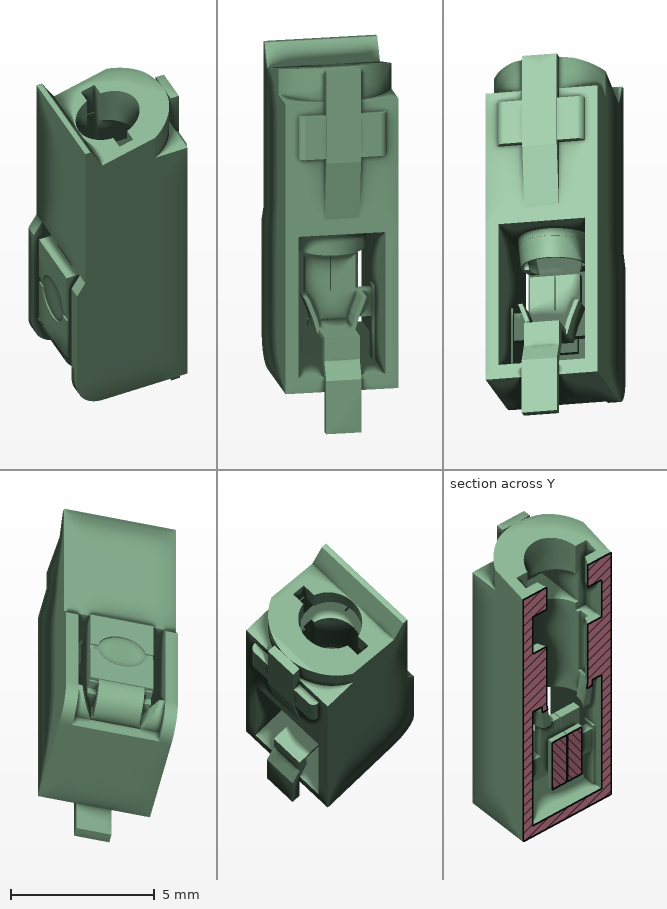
import cadquery as cq
import math


HEIGHT = 13.1
WIDTH = 4.0
HALF_WIDTH = WIDTH / 2
FRONT_Y = -4.25
UPPER_FRONT_Y = -3.93
HOUSING_BOTTOM_Z = 1.43
CHEEK_RADIUS = 0.98
CHEEK_TOP_Z = 7.1
CHEEK_SHOULDER_Z = 6.6
TOP_FLAT_Y = -0.26
TOP_VALLEY_Y = -3.26
TOP_VALLEY_Z = 12.33
LIP_BACK_Y = -3.73

CROWN_RADIUS = 2.23
CROWN_BOTTOM_Z = 11.92

BORE_Y = -2.14
BORE_RADIUS = 1.11
NECK_RADIUS = 0.94
KEYWAY_HALF_WIDTH = 1.59
KEYWAY_BACK_Y = -1.9
KEYWAY_FRONT_Y = -2.42
PLATE_SLOT_HALF_WIDTH = 1.22
PLATE_SLOT_BACK_Y = -2.03
COLLAR_RADIUS = 1.31
COLLAR_BOTTOM_Z = 6.84
SPOUT_BOTTOM_Z = 6.08
SPOUT_TOP_RADIUS = 1.3
SPOUT_BOTTOM_RADIUS = 1.2
SPOUT_FRONT_Y = -2.75

CHAMBER_HALF_WIDTH = 1.55
FLOOR_TOP_Z = 1.94
FLOOR_FRONT_Y = FRONT_Y + CHEEK_RADIUS
GUSSET_TOP_Z = 2.7
GUSSET_INNER_X = 0.89
GUSSET_TIP_X = 1.38
GUSSET_RADIUS = 0.85
RIB_INNER_X = 1.47
RIB_TOP_Z = 4.62

RAIL_HALF_WIDTH = 0.62
RAIL_DEPTH = 0.31
RAIL_TAPER_TOP_Z = 9.79
RAIL_TAPER_BOTTOM_Z = 7.68
PAD_HALF_WIDTH = 1.56
PAD_DEPTH = 0.28
PAD_RADIUS = 0.24
PAD_BOTTOM_Z = 9.94
PAD_TOP_Z = 11.49
SLOT_HALF_WIDTH = 0.64
SLOT_FRONT_Y = -3.89
SLOT_BACK_Y = -3.47
POCKET_HALF_WIDTH = 1.55
POCKET_BOTTOM_Z = 9.76
POCKET_TOP_Z = 11.42
BAY_HALF_WIDTH = 1.22
BAY_BACK_Y = 0.09
BAY_BOTTOM_Z = 10.09

CLAMP_HALF_WIDTH = 1.13
CLAMP_TOP_Z = 6.75
CLAMP_BOTTOM_Z = 3.08
CLAMP_BACK_Y = -2.78
TAB_HALF_WIDTH = 0.58
TAB_FRONT_Y = -3.8
MARK_RADIUS = 0.85
MARK_Z = 4.91
MARK_SLOT_HEIGHT = 0.28
MARK_DEPTH = 0.05
FOOT_FRONT_Y = -3.83
FOOT_LIP_Y = -4.13
FOOT_SHOULDER_Z = 3.0
FOOT_HALF_WIDTH = 0.88
FOOT_BOTTOM_Z = 2.05
ROLL_HALF_WIDTH = 0.81
CLAMP_LEAF_HALF_WIDTH = 0.68
CLAMP_LEAF_BACK_Y = -2.54
CLAMP_LEAF_TOP_Z = 5.24

PIN_HALF_WIDTH = 0.63
PIN_BACK_Y = 0.35
PIN_FRONT_Y = 0.01
PIN_JOG_BOTTOM_Z = 1.93
PIN_JOG_TOP_Z = 2.55
PLATE_HALF_WIDTH = 0.89
PLATE_FRONT_Y = -2.37
PLATE_BACK_Y = -2.05
PLATE_TOP_Z = 5.76
LUG_BOTTOM_Z = 3.48
LUG_TOP_Z = 4.48
LEAF_GAP = 0.04
TROUGH_BACK_Y = -1.05
TROUGH_FLOOR_HALF_WIDTH = 0.56
TROUGH_STEP_HALF_WIDTH = 0.67
TROUGH_MOUTH_HALF_WIDTH = 0.93
TROUGH_WALL = 0.16
TROUGH_FLOOR_Z = 3.4
TROUGH_STEP_Z = 3.8
TROUGH_MOUTH_Z = 4.48


def box(x0, x1, y0, y1, z0, z1):
    """Axis-aligned block between two corners."""
    return cq.Workplane("XY").box(x1 - x0, y1 - y0, z1 - z0, centered=False).translate((x0, y0, z0))


def wide_box(half_width, y0, y1, z0, z1):
    """Block centred on X = 0."""
    return box(-half_width, half_width, y0, y1, z0, z1)


def side_extrude(points, half_width):
    """Closed (Y, Z) outline extruded symmetrically about X = 0."""
    return cq.Workplane("YZ").polyline(points).close().extrude(half_width, both=True)


def rod(radius, y, z0, z1):
    """Vertical cylinder on the centre plane."""
    return cq.Workplane("XY", origin=(0, y, z0)).circle(radius).extrude(z1 - z0)


def cone(bottom_radius, top_radius, z0, z1):
    """Vertical cone frustum on the bore axis."""
    solid = cq.Solid.makeCone(bottom_radius, top_radius, z1 - z0, pnt=cq.Vector(0, BORE_Y, z0))
    return cq.Workplane(solid)


def mirrored(body):
    """The body together with its mirror image in the plane X = 0."""
    return body.union(body.mirror("YZ"))


def side_profile_body():
    arc_offset = CHEEK_RADIUS * (1 - math.sqrt(0.5))
    return (
        cq.Workplane("YZ")
        .moveTo(0, HOUSING_BOTTOM_Z)
        .lineTo(FLOOR_FRONT_Y, HOUSING_BOTTOM_Z)
        .threePointArc(
            (FRONT_Y + arc_offset, HOUSING_BOTTOM_Z + arc_offset),
            (FRONT_Y, HOUSING_BOTTOM_Z + CHEEK_RADIUS),
        )
        .lineTo(FRONT_Y, CHEEK_SHOULDER_Z)
        .lineTo(UPPER_FRONT_Y, CHEEK_TOP_Z)
        .lineTo(UPPER_FRONT_Y, HEIGHT)
        .lineTo(LIP_BACK_Y, HEIGHT)
        .lineTo(TOP_VALLEY_Y, TOP_VALLEY_Z)
        .lineTo(TOP_FLAT_Y, HEIGHT)
        .lineTo(0, HEIGHT)
        .close()
        .extrude(HALF_WIDTH, both=True)
    )


def crown_waste():
    """Material outside the rounded crown at the two upper back corners."""
    corners = wide_box(HALF_WIDTH, -CROWN_RADIUS, 0, CROWN_BOTTOM_Z, HEIGHT)
    return corners.cut(rod(CROWN_RADIUS, -CROWN_RADIUS, CROWN_BOTTOM_Z, HEIGHT))


def chamber():
    """Opening from front to back, with the front of the floor set back between the cheeks."""
    room = wide_box(CHAMBER_HALF_WIDTH, FRONT_Y, 0, FLOOR_TOP_Z, CHEEK_TOP_Z)
    floor_setback = wide_box(CHAMBER_HALF_WIDTH, FRONT_Y, FLOOR_FRONT_Y, HOUSING_BOTTOM_Z, FLOOR_TOP_Z)
    return room.union(floor_setback)


def gussets():
    """Corner blocks with a slanted inner face and a rounded lower front edge."""
    front_y = FLOOR_FRONT_Y - GUSSET_RADIUS
    plan = (
        cq.Workplane("XY", origin=(0, 0, FLOOR_TOP_Z))
        .polyline([
            (CHAMBER_HALF_WIDTH, front_y),
            (GUSSET_TIP_X, front_y),
            (GUSSET_INNER_X, FLOOR_FRONT_Y),
            (GUSSET_INNER_X, CLAMP_BACK_Y),
            (CHAMBER_HALF_WIDTH, CLAMP_BACK_Y),
        ])
        .close()
        .extrude(GUSSET_TOP_Z - FLOOR_TOP_Z)
    )
    rounding = (
        cq.Workplane("YZ", origin=(0, FLOOR_FRONT_Y, FLOOR_TOP_Z + GUSSET_RADIUS))
        .circle(GUSSET_RADIUS)
        .extrude(CHAMBER_HALF_WIDTH)
    )
    behind = box(0, CHAMBER_HALF_WIDTH, FLOOR_FRONT_Y, 0, FLOOR_TOP_Z, GUSSET_TOP_Z)
    return mirrored(plan.intersect(rounding.union(behind)))


def guide_ribs():
    """Thin ribs on the chamber walls that hold the lugs of the contact."""
    return mirrored(
        box(RIB_INNER_X, CHAMBER_HALF_WIDTH, KEYWAY_FRONT_Y, KEYWAY_BACK_Y, FLOOR_TOP_Z, RIB_TOP_Z)
    )


def spout():
    """Collar and tapered spout that lead the wire down into the chamber."""
    collar = rod(COLLAR_RADIUS, BORE_Y, COLLAR_BOTTOM_Z, CHEEK_TOP_Z)
    taper = cone(SPOUT_BOTTOM_RADIUS, SPOUT_TOP_RADIUS, SPOUT_BOTTOM_Z, COLLAR_BOTTOM_Z)
    back_part = wide_box(COLLAR_RADIUS, SPOUT_FRONT_Y, 0, SPOUT_BOTTOM_Z, COLLAR_BOTTOM_Z)
    return collar.union(taper.intersect(back_part))


def wire_entry():
    """Round bore down to the spout, with keyways above the pocket and a slot below it.

    The front half of the bore narrows inside the spout; the back half stays straight.
    """
    bore = rod(BORE_RADIUS, BORE_Y, CHEEK_TOP_Z, HEIGHT)
    neck = cone(NECK_RADIUS, BORE_RADIUS, SPOUT_BOTTOM_Z, CHEEK_TOP_Z)
    back_half = wide_box(BORE_RADIUS, BORE_Y, BORE_Y + BORE_RADIUS, SPOUT_BOTTOM_Z, CHEEK_TOP_Z)
    straight_back = rod(BORE_RADIUS, BORE_Y, SPOUT_BOTTOM_Z, CHEEK_TOP_Z).intersect(back_half)
    keyway = wide_box(KEYWAY_HALF_WIDTH, KEYWAY_FRONT_Y, KEYWAY_BACK_Y, POCKET_TOP_Z, HEIGHT)
    plate_slot = wide_box(
        PLATE_SLOT_HALF_WIDTH, KEYWAY_FRONT_Y, PLATE_SLOT_BACK_Y, CHEEK_TOP_Z, POCKET_BOTTOM_Z
    )
    return bore.union(neck).union(straight_back).union(keyway).union(plate_slot)


def back_rail():
    rail = side_extrude(
        [(0, RAIL_TAPER_BOTTOM_Z), (RAIL_DEPTH, RAIL_TAPER_TOP_Z), (RAIL_DEPTH, HEIGHT), (0, HEIGHT)],
        RAIL_HALF_WIDTH,
    )
    pad = wide_box(PAD_HALF_WIDTH, 0, PAD_DEPTH, PAD_BOTTOM_Z, PAD_TOP_Z)
    pad = pad.edges("|Z and >Y").fillet(PAD_RADIUS)
    return rail.union(pad)


def bore_pocket():
    """Pocket across the bore, with a narrower bay reaching back into the pad."""
    pocket = wide_box(POCKET_HALF_WIDTH, SLOT_FRONT_Y, KEYWAY_BACK_Y, POCKET_BOTTOM_Z, POCKET_TOP_Z)
    bay = wide_box(BAY_HALF_WIDTH, KEYWAY_BACK_Y, BAY_BACK_Y, BAY_BOTTOM_Z, POCKET_TOP_Z)
    return pocket.union(bay)


def tab_slot():
    """Slot behind the front wall for the tab of the clamp."""
    return wide_box(SLOT_HALF_WIDTH, SLOT_FRONT_Y, SLOT_BACK_Y, CHEEK_TOP_Z, POCKET_BOTTOM_Z)


def make_housing():
    body = side_profile_body().cut(crown_waste()).cut(chamber())
    body = body.union(gussets()).union(guide_ribs()).union(spout()).union(back_rail())
    return body.cut(wire_entry()).cut(bore_pocket()).cut(tab_slot())


def leaf_pair(half_width, y0, y1, z0, z1):
    """Two upright leaves separated by a slit at X = 0."""
    return mirrored(box(LEAF_GAP / 2, half_width, y0, y1, z0, z1))


def clamp_mark():
    """Shallow round recess crossed by a horizontal slot."""
    disc = (
        cq.Workplane("XZ", origin=(0, FRONT_Y, MARK_Z))
        .circle(MARK_RADIUS)
        .extrude(-MARK_DEPTH)
    )
    slot = wide_box(
        CLAMP_HALF_WIDTH, FRONT_Y, FRONT_Y + MARK_DEPTH,
        MARK_Z - MARK_SLOT_HEIGHT / 2, MARK_Z + MARK_SLOT_HEIGHT / 2,
    )
    return disc.union(slot)


def clamp_foot():
    """Narrow foot below the block, with a rounded nose in front."""
    shoulder = wide_box(CLAMP_HALF_WIDTH, FOOT_FRONT_Y, CLAMP_BACK_Y, GUSSET_TOP_Z, CLAMP_BOTTOM_Z)
    lip = wide_box(CLAMP_HALF_WIDTH, FOOT_LIP_Y, CLAMP_BACK_Y, FOOT_SHOULDER_Z, CLAMP_BOTTOM_Z)
    foot = wide_box(FOOT_HALF_WIDTH, FLOOR_FRONT_Y, CLAMP_BACK_Y, FOOT_BOTTOM_Z, GUSSET_TOP_Z)
    roll_radius = FOOT_SHOULDER_Z - FOOT_BOTTOM_Z
    roll = (
        cq.Workplane("YZ", origin=(0, FLOOR_FRONT_Y, FOOT_SHOULDER_Z))
        .circle(roll_radius)
        .extrude(ROLL_HALF_WIDTH, both=True)
    )
    nose_limit = wide_box(
        ROLL_HALF_WIDTH, FLOOR_FRONT_Y - roll_radius, FLOOR_FRONT_Y, FOOT_BOTTOM_Z, CLAMP_BOTTOM_Z
    )
    return shoulder.union(lip).union(foot).union(roll.intersect(nose_limit))


def make_clamp():
    block = wide_box(CLAMP_HALF_WIDTH, FRONT_Y, CLAMP_BACK_Y, CLAMP_BOTTOM_Z, CLAMP_TOP_Z)
    tab = wide_box(TAB_HALF_WIDTH, TAB_FRONT_Y, SLOT_BACK_Y, CLAMP_TOP_Z, POCKET_BOTTOM_Z)
    leaves = leaf_pair(
        CLAMP_LEAF_HALF_WIDTH, CLAMP_BACK_Y, CLAMP_LEAF_BACK_Y, CLAMP_BOTTOM_Z, CLAMP_LEAF_TOP_Z
    )
    return block.cut(clamp_mark()).union(tab).union(clamp_foot()).union(leaves)


def contact_trough():
    """Trough with flared sides behind the contact plate."""
    inside = [
        (TROUGH_FLOOR_HALF_WIDTH, TROUGH_FLOOR_Z),
        (TROUGH_STEP_HALF_WIDTH, TROUGH_STEP_Z),
        (TROUGH_MOUTH_HALF_WIDTH, TROUGH_MOUTH_Z),
    ]
    outside = [
        (TROUGH_MOUTH_HALF_WIDTH + TROUGH_WALL, TROUGH_MOUTH_Z),
        (TROUGH_STEP_HALF_WIDTH + TROUGH_WALL, TROUGH_STEP_Z),
        (TROUGH_STEP_HALF_WIDTH, TROUGH_FLOOR_Z - TROUGH_WALL),
    ]
    right_side = inside + outside
    left_side = [(-x, z) for x, z in reversed(right_side)]
    return (
        cq.Workplane("XZ", origin=(0, TROUGH_BACK_Y, 0))
        .polyline(right_side + left_side)
        .close()
        .extrude(TROUGH_BACK_Y - PLATE_BACK_Y)
    )


def contact_pin():
    """Pin that jogs forward into the housing and runs level to the trough."""
    thickness = PIN_BACK_Y - PIN_FRONT_Y
    return side_extrude(
        [
            (PIN_BACK_Y, 0),
            (PIN_BACK_Y, PIN_JOG_BOTTOM_Z),
            (PIN_FRONT_Y, PIN_JOG_TOP_Z),
            (PIN_FRONT_Y, TROUGH_FLOOR_Z),
            (TROUGH_BACK_Y, TROUGH_FLOOR_Z),
            (TROUGH_BACK_Y, TROUGH_FLOOR_Z - TROUGH_WALL),
            (PIN_FRONT_Y - thickness, TROUGH_FLOOR_Z - TROUGH_WALL),
            (PIN_FRONT_Y - thickness, PIN_JOG_TOP_Z),
            (PIN_FRONT_Y, PIN_JOG_BOTTOM_Z),
            (PIN_FRONT_Y, 0),
        ],
        PIN_HALF_WIDTH,
    )


def make_contact():
    lugs = wide_box(RIB_INNER_X, PLATE_FRONT_Y, PLATE_BACK_Y, LUG_BOTTOM_Z, LUG_TOP_Z)
    leaves = leaf_pair(PLATE_HALF_WIDTH, PLATE_FRONT_Y, PLATE_BACK_Y, LUG_TOP_Z, PLATE_TOP_Z)
    return lugs.union(leaves).union(contact_trough()).union(contact_pin())


housing = make_housing()
clamp = make_clamp()
contact = make_contact()

result = cq.Compound.makeCompound([housing.val(), clamp.val(), contact.val()])